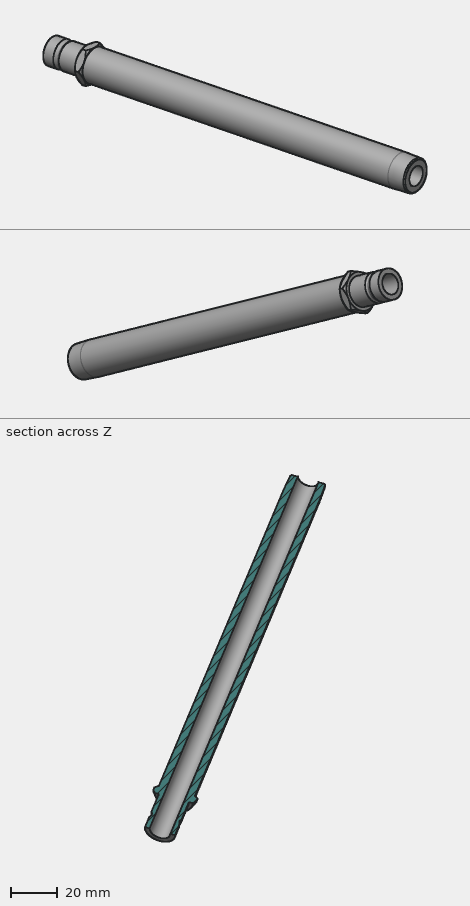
import cadquery as cq
import math

total_length = 200.0
groove_start = 5.5
groove_cone_end = 7.5
groove_end = 8.5
nut_start = 18.8
nut_width = 4.2
nut_end = nut_start + nut_width
tip_length = 9.0
tip_start = total_length - tip_length
tip_chamfer = 0.5

bore_diameter = 9.2
spigot_diameter = 13.8
spigot_radius = spigot_diameter / 2
groove_cone_diameter = 12.5
tube_diameter = 16.5
tip_end_diameter = 16.0

nut_across_flats = 17.0
nut_across_corners = nut_across_flats / math.cos(math.radians(30))
nut_face_diameter = 17.0
nut_bevel_length = 1.2


def revolve_about_x(profile):
    """Solid of revolution from (x, radius) points, closed along the X axis."""
    first_x = profile[0][0]
    last_x = profile[-1][0]
    outline = [(first_x, 0), *profile, (last_x, 0)]
    return cq.Workplane("XY").polyline(outline).close().revolve(360, (0, 0, 0), (1, 0, 0))


def make_shaft():
    """Plain spigot, tube and slightly tapered tip with a chamfered end."""
    tube_radius = tube_diameter / 2
    tip_end_radius = tip_end_diameter / 2
    return revolve_about_x([
        (0, spigot_radius),
        (nut_start, spigot_radius),
        (nut_start, tube_radius),
        (tip_start, tube_radius),
        (total_length - tip_chamfer, tip_end_radius),
        (total_length, tip_end_radius - tip_chamfer),
    ])


def make_groove():
    """Ring cut from the spigot: a gentle cone runs into a tangent arc that rises steeply."""
    return (
        cq.Workplane("XY")
        .moveTo(groove_start, spigot_radius)
        .lineTo(groove_cone_end, groove_cone_diameter / 2)
        .tangentArcPoint((groove_end, spigot_radius), relative=False)
        .close()
        .revolve(360, (0, 0, 0), (1, 0, 0))
    )


def make_nut():
    """Hexagon whose corners are trimmed by a double cone."""
    hexagon = (
        cq.Workplane("YZ")
        .workplane(offset=nut_start)
        .polygon(6, nut_across_corners)
        .extrude(nut_width)
    )
    face_radius = nut_face_diameter / 2
    corner_radius = nut_across_corners / 2
    bevels = revolve_about_x([
        (nut_start, face_radius),
        (nut_start + nut_bevel_length, corner_radius),
        (nut_end - nut_bevel_length, corner_radius),
        (nut_end, face_radius),
    ])
    return hexagon.intersect(bevels)


def make_bore():
    """Straight hole through the whole length."""
    return cq.Workplane("YZ").circle(bore_diameter / 2).extrude(total_length)


result = make_shaft().union(make_nut()).cut(make_groove()).cut(make_bore())